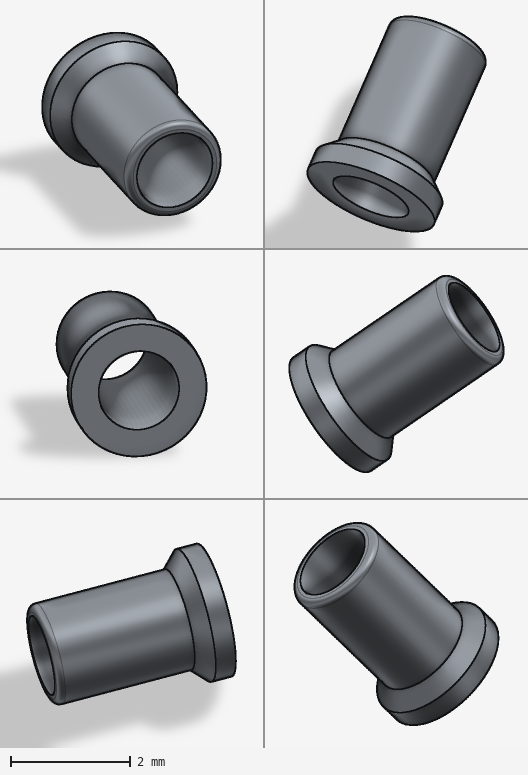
import cadquery as cq

total_length = 3.05
flange_diameter = 2.312
sleeve_diameter = 1.755
bore_diameter = 1.372
rim_length = 0.357
end_round = 0.12

flange_radius = flange_diameter / 2
sleeve_radius = sleeve_diameter / 2
taper_length = flange_radius - sleeve_radius

body = (
    cq.Workplane("XY")
    .moveTo(0, 0)
    .lineTo(0, flange_radius)
    .lineTo(rim_length, flange_radius)
    .lineTo(rim_length + taper_length, sleeve_radius)
    .lineTo(total_length, sleeve_radius)
    .lineTo(total_length, 0)
    .close()
    .revolve(360, (0, 0, 0), (1, 0, 0))
)

body = body.faces(">X").edges().fillet(end_round)

bore = cq.Workplane("YZ").circle(bore_diameter / 2).extrude(total_length)
result = body.cut(bore)